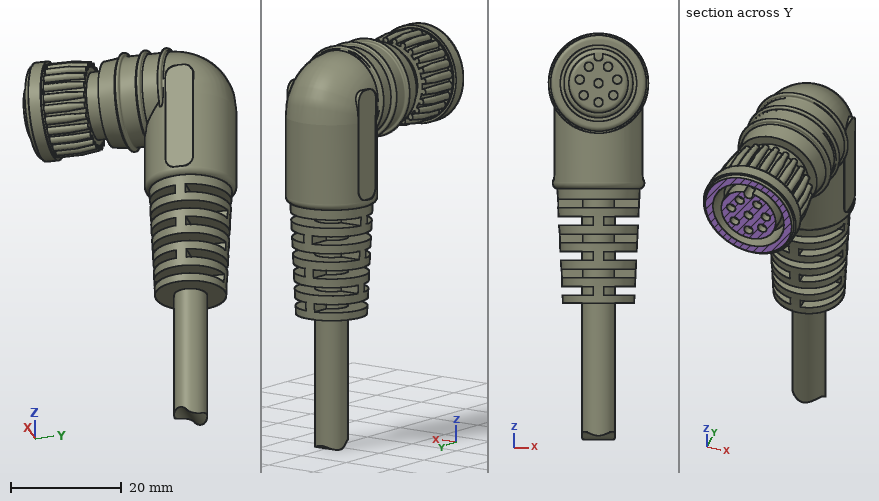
import cadquery as cq
import math


BODY_R = 8.3
BEND_OFFSET = 3.2
BODY_BOTTOM_Z = -19.05
BODY_EDGE_HEIGHT = 1.25
BODY_TAPER_Y = -12.0
BODY_FRONT_Y = -15.2
BODY_FRONT_R = 7.85

BEAD_R = 9.0
BEAD_FIRST_Y = -3.5
BEAD_PITCH = 3.95
BEAD_COUNT = 3
BEAD_TIP_RADIUS = 0.4
BEAD_TOE_RADIUS = 0.26

PANEL_X = 8.0
PANEL_WIDTH = 5.1
PANEL_TOP_Z = 2.6
PANEL_BOTTOM_Z = -17.65
PANEL_CORNER = 1.9

RELIEF_TOP_R = 7.5
RELIEF_BOTTOM_R = 6.45
RELIEF_BOTTOM_Z = -39.65
SLOT_TOP_Z = -20.9
SLOT_HEIGHT = 1.55
SLOT_PITCH = 3.15
SLOT_COUNT = 6
RIB_WIDTH = 1.9

CABLE_R = 3.0
CABLE_END_Z = -64.3
WAVE_HEIGHT = 0.7
WAVE_MID_Z = CABLE_END_Z + WAVE_HEIGHT

NECK_R = 6.15
NUT_REAR_Y = -17.8
FLUTE_TAPER_END_Y = -21.0
FLUTE_END_Y = -25.3
FLUTE_COUNT = 24
CREST_R = 8.5
ROOT_R = 7.8
REAR_CREST_R = 8.05
REAR_ROOT_R = 7.2
RIDGE_SHARE = 0.75
REAR_RIDGE_SHARE = 0.45
COLLAR_REAR_Y = -25.65
COLLAR_STEP_Y = -27.9
COLLAR_FRONT_Y = -28.8
COLLAR_R = 9.0
COLLAR_LIP_R = 8.65
COLLAR_LIP_ROUND = 0.8
NUT_BORE_R = 6.9
BORE_FLOOR_Y = -22.9

INSERT_R = 5.35
INSERT_BASE_R = 6.2
INSERT_STEP_Y = -25.65
INSERT_FRONT_Y = -30.0
INSERT_ROUND = 0.8
PIN_HOLE_R = 0.8
PIN_HOLE_DEPTH = 2.9
PIN_CIRCLE_R = 3.45
PIN_ANGLES = (0, 51, 101, 150, -51, -101, -150)
KEY_WIDTH = 1.6
KEY_BOTTOM_R = 4.0
KEY_DEPTH = INSERT_STEP_Y - INSERT_FRONT_Y


def revolve_about_y(outline):
    """Turn a closed (radius, y) outline about the plug axis."""
    return outline.close().revolve(360, (0, 0, 0), (0, 1, 0))


def plug_cylinder(radius, rear_y, front_y):
    """Cylinder on the plug axis between two Y positions."""
    plane = cq.Workplane("XZ", origin=(0, rear_y, 0))
    return plane.circle(radius).extrude(rear_y - front_y)


def quarter_arc(outline, center, radius, middle_angle, end_angle):
    """Continue an outline with an arc through two angles about a center."""
    def on_circle(angle):
        turn = math.radians(angle)
        return (center[0] + radius * math.cos(turn), center[1] + radius * math.sin(turn))

    return outline.threePointArc(on_circle(middle_angle), on_circle(end_angle))


def make_bend():
    """Outer half of the tube, swung a quarter turn from +Y up to +Z."""
    half_chord = math.sqrt(BODY_R ** 2 - BEND_OFFSET ** 2)
    return (
        cq.Workplane("XY", origin=(0, 0, -BEND_OFFSET))
        .moveTo(-half_chord, -BEND_OFFSET)
        .threePointArc((0, BODY_R), (half_chord, -BEND_OFFSET))
        .close()
        .revolve(90, (0, -BEND_OFFSET, 0), (1, -BEND_OFFSET, 0))
    )


def make_upright():
    """Vertical part of the body with its rounded lower edge."""
    edge_top_z = BODY_BOTTOM_Z + BODY_EDGE_HEIGHT
    edge_width = BODY_R - RELIEF_TOP_R
    lean = math.sqrt(0.5)
    edge_middle = (RELIEF_TOP_R + edge_width * lean, edge_top_z - BODY_EDGE_HEIGHT * lean)
    return (
        cq.Workplane("XZ")
        .moveTo(0, -BEND_OFFSET)
        .lineTo(BODY_R, -BEND_OFFSET)
        .lineTo(BODY_R, edge_top_z)
        .threePointArc(edge_middle, (RELIEF_TOP_R, BODY_BOTTOM_Z))
        .lineTo(0, BODY_BOTTOM_Z)
        .close()
        .revolve(360, (0, 0, 0), (0, 1, 0))
    )


def make_plug_tube():
    """Horizontal part of the body with its tapered front."""
    outline = (
        cq.Workplane("XY")
        .moveTo(0, -BEND_OFFSET)
        .lineTo(BODY_R, -BEND_OFFSET)
        .lineTo(BODY_R, BODY_TAPER_Y)
        .lineTo(BODY_FRONT_R, BODY_FRONT_Y)
        .lineTo(0, BODY_FRONT_Y)
    )
    return revolve_about_y(outline)


def make_bead(center_y):
    """Round-tipped bead whose toes blend into the body."""
    tip_center_r = BEAD_R - BEAD_TIP_RADIUS
    toe_center_r = BODY_R + BEAD_TOE_RADIUS
    toe_offset = BEAD_TIP_RADIUS + BEAD_TOE_RADIUS
    rear_y = center_y + toe_offset
    front_y = center_y - toe_offset
    outline = cq.Workplane("XY").moveTo(NECK_R, rear_y).lineTo(BODY_R, rear_y)
    outline = quarter_arc(outline, (toe_center_r, rear_y), BEAD_TOE_RADIUS, 225, 270)
    outline = outline.lineTo(tip_center_r, center_y + BEAD_TIP_RADIUS)
    outline = quarter_arc(outline, (tip_center_r, center_y), BEAD_TIP_RADIUS, 0, -90)
    outline = outline.lineTo(toe_center_r, center_y - BEAD_TIP_RADIUS)
    outline = quarter_arc(outline, (toe_center_r, front_y), BEAD_TOE_RADIUS, 135, 180)
    return revolve_about_y(outline.lineTo(NECK_R, front_y))


def panel_prism(inner_x, outer_x):
    """Rounded panel outline extruded between two X positions."""
    height = PANEL_TOP_Z - PANEL_BOTTOM_Z
    center = ((inner_x + outer_x) / 2, 0, (PANEL_TOP_Z + PANEL_BOTTOM_Z) / 2)
    prism = cq.Workplane("XY").box(abs(outer_x - inner_x), PANEL_WIDTH, height)
    return prism.edges("|X").fillet(PANEL_CORNER).translate(center)


def add_panels(body):
    """Level both sides of the body to flat panels, filling or shaving as needed."""
    for side in (-1, 1):
        body = body.union(panel_prism(0, side * PANEL_X))
        body = body.cut(panel_prism(side * PANEL_X, side * BEAD_R))
    return body


def make_strain_relief():
    """Tapered sleeve with slots that leave a rib across X and Y by turns."""
    sleeve = (
        cq.Workplane("XZ")
        .moveTo(0, BODY_BOTTOM_Z)
        .lineTo(RELIEF_TOP_R, BODY_BOTTOM_Z)
        .lineTo(RELIEF_BOTTOM_R, RELIEF_BOTTOM_Z)
        .lineTo(0, RELIEF_BOTTOM_Z)
        .close()
        .revolve(360, (0, 0, 0), (0, 1, 0))
    )
    for index in range(SLOT_COUNT):
        slot_bottom_z = SLOT_TOP_Z - index * SLOT_PITCH - SLOT_HEIGHT
        layer = cq.Workplane("XY", origin=(0, 0, slot_bottom_z))
        rib_x = 2 * BODY_R if index % 2 == 0 else RIB_WIDTH
        rib_y = RIB_WIDTH if index % 2 == 0 else 2 * BODY_R
        kept = layer.rect(rib_x, rib_y).extrude(SLOT_HEIGHT)
        kept = kept.union(layer.circle(CABLE_R).extrude(SLOT_HEIGHT))
        sleeve = sleeve.cut(layer.circle(BODY_R).extrude(SLOT_HEIGHT).cut(kept))
    return sleeve


def make_cable():
    """Round cable cut off by an S-shaped break across Y."""
    half = CABLE_R / 2
    side_view = (
        cq.Workplane("YZ", origin=(-CABLE_R, 0, 0))
        .moveTo(-CABLE_R, RELIEF_BOTTOM_Z)
        .lineTo(-CABLE_R, WAVE_MID_Z)
        .threePointArc((-half, WAVE_MID_Z + WAVE_HEIGHT), (0, WAVE_MID_Z))
        .threePointArc((half, CABLE_END_Z), (CABLE_R, WAVE_MID_Z))
        .lineTo(CABLE_R, RELIEF_BOTTOM_Z)
        .close()
        .extrude(2 * CABLE_R)
    )
    cable = cq.Workplane("XY", origin=(0, 0, CABLE_END_Z)).circle(CABLE_R)
    return cable.extrude(RELIEF_BOTTOM_Z - CABLE_END_Z).intersect(side_view)


def fluted_outline(plane, crest_r, root_r, ridge_share):
    """Closed outline of rounded ridges joined by short root lines."""
    pitch = 2 * math.pi / FLUTE_COUNT
    half_ridge = pitch * ridge_share / 2

    def polar(radius, angle):
        return (radius * math.cos(angle), radius * math.sin(angle))

    outline = plane.moveTo(*polar(root_r, pitch / 2 - half_ridge))
    for index in range(FLUTE_COUNT):
        crest = (index + 0.5) * pitch
        outline = outline.threePointArc(polar(crest_r, crest), polar(root_r, crest + half_ridge))
        if index < FLUTE_COUNT - 1:
            outline = outline.lineTo(*polar(root_r, crest + pitch - half_ridge))
    return outline.close()


def make_grip():
    """Fluted grip of the nut: tapered at the rear, straight toward the collar."""
    rear = cq.Workplane("XZ", origin=(0, NUT_REAR_Y, 0))
    tapered = fluted_outline(rear, REAR_CREST_R, REAR_ROOT_R, REAR_RIDGE_SHARE)
    tapered = tapered.workplane(offset=NUT_REAR_Y - FLUTE_TAPER_END_Y)
    tapered = fluted_outline(tapered, CREST_R, ROOT_R, RIDGE_SHARE).loft(ruled=True)
    middle = cq.Workplane("XZ", origin=(0, FLUTE_TAPER_END_Y, 0))
    straight = fluted_outline(middle, CREST_R, ROOT_R, RIDGE_SHARE)
    return tapered.union(straight.extrude(FLUTE_TAPER_END_Y - FLUTE_END_Y))


def make_collar():
    """Smooth front ring of the nut with a stepped-in, rounded lip."""
    lip_round_center = (COLLAR_LIP_R - COLLAR_LIP_ROUND, COLLAR_FRONT_Y + COLLAR_LIP_ROUND)
    outline = (
        cq.Workplane("XY")
        .moveTo(0, FLUTE_END_Y)
        .lineTo(CREST_R, FLUTE_END_Y)
        .lineTo(CREST_R, COLLAR_REAR_Y)
        .lineTo(COLLAR_R, COLLAR_REAR_Y)
        .lineTo(COLLAR_R, COLLAR_STEP_Y)
        .lineTo(COLLAR_LIP_R, COLLAR_STEP_Y)
        .lineTo(COLLAR_LIP_R, COLLAR_FRONT_Y + COLLAR_LIP_ROUND)
    )
    outline = quarter_arc(outline, lip_round_center, COLLAR_LIP_ROUND, -45, -90)
    return revolve_about_y(outline.lineTo(0, COLLAR_FRONT_Y))


def make_nut():
    """Coupling nut with its open front bore."""
    bore = plug_cylinder(NUT_BORE_R, BORE_FLOOR_Y, COLLAR_FRONT_Y)
    return make_grip().union(make_collar()).cut(bore)


def make_insert():
    """Contact carrier with pin holes and a keyway at the top."""
    base = plug_cylinder(INSERT_BASE_R, BORE_FLOOR_Y, INSERT_STEP_Y)
    base = base.faces("<Y").edges().fillet(INSERT_ROUND)
    carrier = plug_cylinder(INSERT_R, BORE_FLOOR_Y, INSERT_FRONT_Y)
    carrier = carrier.faces("<Y").edges().fillet(INSERT_ROUND).union(base)

    pin_places = [(0, 0)]
    for angle in PIN_ANGLES:
        turn = math.radians(angle)
        pin_places.append((PIN_CIRCLE_R * math.sin(turn), -PIN_CIRCLE_R * math.cos(turn)))
    pins = cq.Workplane("XZ", origin=(0, INSERT_FRONT_Y + PIN_HOLE_DEPTH, 0))
    pins = pins.pushPoints(pin_places).circle(PIN_HOLE_R).extrude(PIN_HOLE_DEPTH)

    key_center_z = KEY_BOTTOM_R + KEY_WIDTH / 2
    key_plane = cq.Workplane("XZ", origin=(0, INSERT_FRONT_Y + KEY_DEPTH, 0))
    keyway = (
        key_plane.moveTo(-KEY_WIDTH / 2, INSERT_R)
        .lineTo(-KEY_WIDTH / 2, key_center_z)
        .threePointArc((0, KEY_BOTTOM_R), (KEY_WIDTH / 2, key_center_z))
        .lineTo(KEY_WIDTH / 2, INSERT_R)
        .close()
        .extrude(KEY_DEPTH)
    )
    return carrier.cut(pins).cut(keyway)


result = make_bend().union(make_upright()).union(make_plug_tube())
for bead_index in range(BEAD_COUNT):
    result = result.union(make_bead(BEAD_FIRST_Y - bead_index * BEAD_PITCH))
result = add_panels(result)
result = result.union(make_strain_relief()).union(make_cable())
result = result.union(plug_cylinder(NECK_R, BODY_FRONT_Y, NUT_REAR_Y))
result = result.union(make_nut()).union(make_insert())